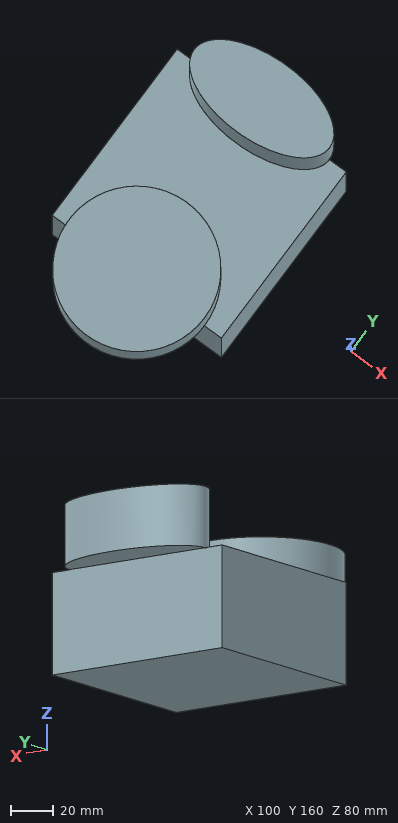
import cadquery as cq

block_side = 100.0
block_height = 50.0

disc_radius = 40.0
disc_height = 20.0

post_x_radius = disc_radius
post_y_radius = post_x_radius / 2
post_height = 30.0

edge_offset = block_side / 2


def make_block():
    return cq.Workplane("XY").box(
        block_side, block_side, block_height, centered=(True, True, False)
    )


def make_disc():
    """Disc lying on the block and overhanging its front side by half."""
    disc = cq.Workplane("XY").circle(disc_radius).extrude(disc_height)
    return disc.translate((0, -edge_offset, block_height))


def make_post():
    """Elliptical post standing on the block and overhanging its rear side by half."""
    post = cq.Workplane("XY").ellipse(post_x_radius, post_y_radius).extrude(post_height)
    return post.translate((0, edge_offset, block_height))


block = make_block()
disc = make_disc()
post = make_post()

result = cq.Compound.makeCompound([block.val(), disc.val(), post.val()])